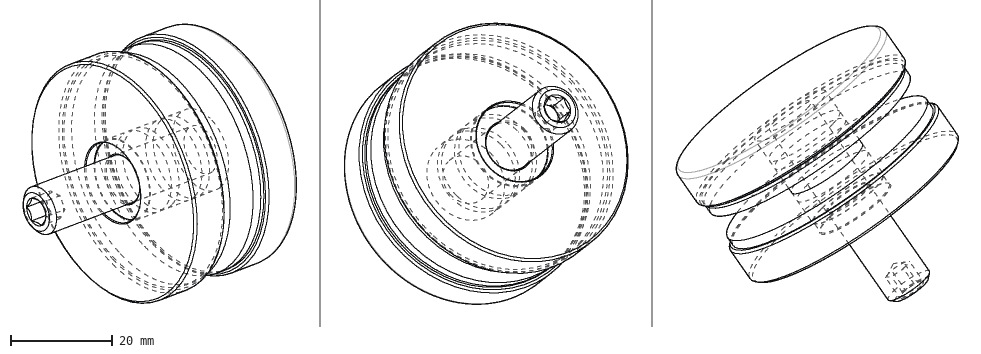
import cadquery as cq
import math


disc_radius = 25.0
disc_thickness = 8.0
disc_chamfer = 0.5
gasket_radius = 24.0
gasket_thickness = 2.0
panel_gap = 6.0

spigot_length = 0.8
overall_length = 49.75
cap_fillet = 1.0

sleeve_radius = 8.5
sleeve_recess = 2.5
sleeve_depth_in_cap = 5.0
bore_radius = 8.3
bore_chamfer = 0.2

stud_radius = 5.0
stud_projection = 20.0
stud_chamfer = 1.0
stud_hole_chamfer = 0.25
socket_flats = 5.0
socket_depth = 5.0
socket_tip_angle = 120.0

front_gasket_y = disc_thickness
back_gasket_y = front_gasket_y + gasket_thickness + panel_gap
spigot_y = back_gasket_y + gasket_thickness
cap_y = spigot_y + spigot_length
cap_rim_y = cap_y + disc_thickness
apex_y = overall_length - stud_projection
sleeve_end_y = spigot_y + sleeve_depth_in_cap


def cylinder(radius, start_y, length):
    """Solid cylinder along +Y starting at start_y."""
    return cq.Workplane("XZ", origin=(0, start_y, 0)).circle(radius).extrude(-length)


def cone(start_radius, end_radius, start_y, length):
    """Solid cone or frustum along +Y; end_radius may be zero."""
    return cq.Workplane(cq.Solid.makeCone(
        start_radius, end_radius, length, pnt=cq.Vector(0, start_y, 0), dir=cq.Vector(0, 1, 0)
    ))


def make_base_disc():
    disc = cylinder(disc_radius, 0, disc_thickness).edges().chamfer(disc_chamfer)
    disc = disc.cut(cylinder(bore_radius, 0, disc_thickness))
    disc = disc.cut(cone(bore_radius + bore_chamfer, bore_radius, 0, bore_chamfer))
    return disc.cut(cylinder(sleeve_radius, sleeve_recess, disc_thickness - sleeve_recess))


def make_gasket(start_y):
    gasket = cylinder(gasket_radius, start_y, gasket_thickness)
    return gasket.cut(cylinder(sleeve_radius, start_y, gasket_thickness))


def make_sleeve():
    length = sleeve_end_y - sleeve_recess
    sleeve = cylinder(sleeve_radius, sleeve_recess, length)
    sleeve = sleeve.cut(cylinder(stud_radius, sleeve_recess, length))
    entry = cone(stud_radius + stud_hole_chamfer, stud_radius, sleeve_recess, stud_hole_chamfer)
    return sleeve.cut(entry)


def make_cap():
    dome_rise = apex_y - cap_rim_y
    dome_radius = (disc_radius**2 + dome_rise**2) / (2 * dome_rise)
    half_angle = math.asin(disc_radius / dome_radius) / 2
    arc_middle = (
        dome_radius * math.sin(half_angle),
        apex_y - dome_radius * (1 - math.cos(half_angle)),
    )
    cap = (
        cq.Workplane("XY")
        .moveTo(0, cap_y)
        .lineTo(disc_radius - disc_chamfer, cap_y)
        .lineTo(disc_radius, cap_y + disc_chamfer)
        .lineTo(disc_radius, cap_rim_y)
        .threePointArc(arc_middle, (0, apex_y))
        .close()
        .revolve(360, (0, 0, 0), (0, 1, 0))
    )
    cap = cap.edges(cq.selectors.BoxSelector(
        (-disc_radius, cap_rim_y - disc_chamfer, -disc_radius),
        (disc_radius, cap_rim_y + disc_chamfer, disc_radius),
        boundingbox=False,
    )).edges("%CIRCLE").fillet(cap_fillet)
    cap = cap.union(cylinder(gasket_radius, spigot_y, spigot_length))
    return cap.cut(cylinder(sleeve_radius, spigot_y, sleeve_depth_in_cap))


def make_stud():
    stud = cylinder(stud_radius, -stud_projection, stud_projection + sleeve_end_y)
    stud = stud.faces("<Y").chamfer(stud_chamfer)

    across_corners = socket_flats / math.cos(math.radians(30))
    socket = (
        cq.Workplane("XZ", origin=(0, -stud_projection, 0))
        .polygon(6, across_corners)
        .extrude(-socket_depth)
    )
    entry_depth = (across_corners - socket_flats) / 2
    entry = cone(across_corners / 2, socket_flats / 2, -stud_projection, entry_depth)
    tip_length = socket_flats / 2 / math.tan(math.radians(socket_tip_angle / 2))
    tip = cone(socket_flats / 2, 0, socket_depth - stud_projection, tip_length)
    return stud.cut(socket).cut(entry).cut(tip)


base_disc = make_base_disc()
gaskets = [make_gasket(start_y) for start_y in (front_gasket_y, back_gasket_y)]
sleeve = make_sleeve()
cap = make_cap()
stud = make_stud()

result = cq.Compound.makeCompound([
    base_disc.val(),
    *[gasket.val() for gasket in gaskets],
    sleeve.val(),
    cap.val(),
    stud.val(),
])